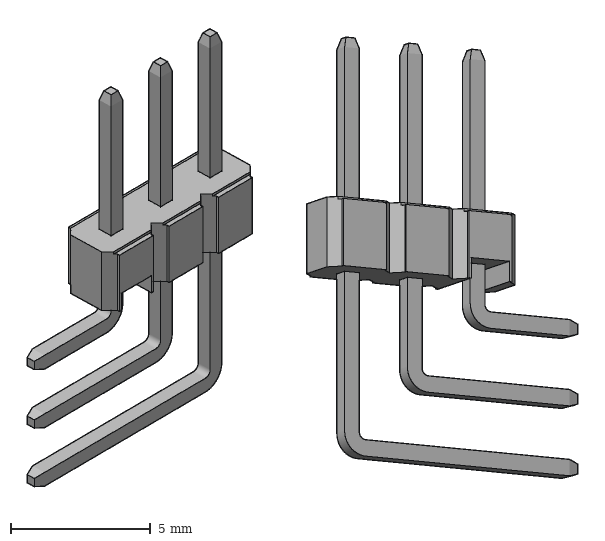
import cadquery as cq

pin_count = 3
pitch = 2.54
housing_width = 2.54
housing_height = 2.54
housing_length = pin_count * pitch
corner_chamfer = 0.4
pad_thickness = 0.1
ledge_depth = 0.2
ledge_height = 0.1
slot_width = 1.54
slot_height = 0.74

wire = 0.6
tip_width = 0.36
tip_length = 0.4
bend_inner_radius = 0.25
bend_outer_radius = bend_inner_radius + wire
pin_rise = 6.0
front_reach = 2.85
shortest_drop = 1.56

pin_top = housing_height + pin_rise
pin_front = -housing_length / 2 - front_reach
cell_centers = [(i - (pin_count - 1) / 2) * pitch for i in range(pin_count)]
front_cell = cell_centers[0]


def make_cell(y_center):
    """One housing cell: a chamfered block with a pad across both sides."""
    block = (
        cq.Workplane("XY")
        .center(0, y_center)
        .rect(housing_width - 2 * pad_thickness, pitch)
        .extrude(housing_height)
        .edges("|Z")
        .chamfer(corner_chamfer)
    )
    pads = (
        cq.Workplane("XY")
        .center(0, y_center)
        .rect(housing_width, pitch - 2 * corner_chamfer)
        .extrude(housing_height)
    )
    return block.union(pads)


def make_housing():
    """Join the cells, step the upper edges, slot the front cell and pierce the pin holes."""
    body = make_cell(front_cell)
    for y_center in cell_centers[1:]:
        body = body.union(make_cell(y_center))

    ledges = (
        cq.Workplane("XY", origin=(0, 0, housing_height - ledge_height))
        .pushPoints([(-housing_width / 2, 0), (housing_width / 2, 0)])
        .rect(2 * ledge_depth, housing_length)
        .extrude(ledge_height)
    )
    slot = (
        cq.Workplane("XY")
        .center(0, front_cell)
        .rect(housing_width, slot_width)
        .extrude(slot_height)
    )
    pin_holes = (
        cq.Workplane("XY")
        .pushPoints([(0, y_center) for y_center in cell_centers])
        .rect(wire, wire)
        .extrude(housing_height)
    )
    return body.cut(ledges).cut(slot).cut(pin_holes)


def make_tip(base_center, direction):
    """Tapered pin end, starting at base_center and pointing along direction."""
    base = cq.Plane(origin=base_center, xDir=(1, 0, 0), normal=direction)
    return (
        cq.Workplane(base)
        .rect(wire, wire)
        .workplane(offset=tip_length)
        .rect(tip_width, tip_width)
        .loft(combine=True)
    )


def make_pin(y_center, drop):
    """Pin that runs down through the housing and bends toward -Y."""
    back = y_center + wire / 2
    front = y_center - wire / 2
    shaft_end = pin_top - tip_length
    leg_end = pin_front + tip_length
    wire_profile = (
        cq.Workplane("YZ", origin=(-wire / 2, 0, 0))
        .moveTo(back, shaft_end)
        .lineTo(back, bend_outer_radius - drop)
        .radiusArc((back - bend_outer_radius, -drop), bend_outer_radius)
        .lineTo(leg_end, -drop)
        .lineTo(leg_end, wire - drop)
        .lineTo(front - bend_inner_radius, wire - drop)
        .radiusArc((front, bend_outer_radius - drop), -bend_inner_radius)
        .lineTo(front, shaft_end)
        .close()
    )
    upper_tip = make_tip((0, y_center, shaft_end), (0, 0, 1))
    front_tip = make_tip((0, leg_end, wire / 2 - drop), (0, -1, 0))
    return wire_profile.extrude(wire).union(upper_tip).union(front_tip)


housing = make_housing()

pins = [make_pin(y_center, shortest_drop + i * pitch) for i, y_center in enumerate(cell_centers)]

result = cq.Compound.makeCompound([housing.val(), *[pin.val() for pin in pins]])